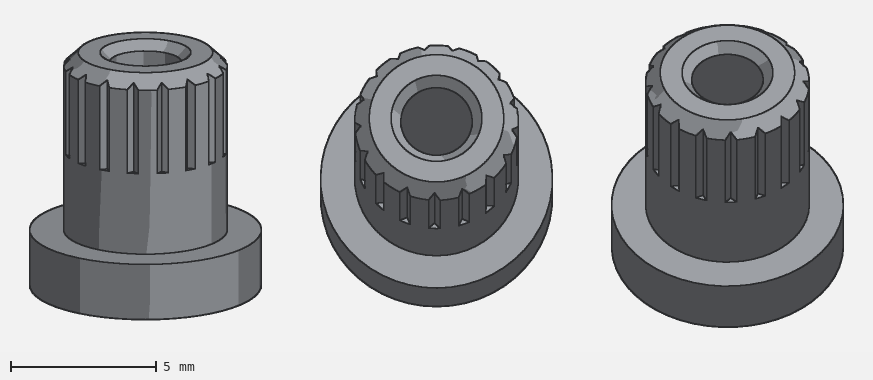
import cadquery as cq
import math

total_height = 8.4
flange_diameter = 8.0
flange_height = 2.0
shaft_diameter = 5.645
bore_diameter = 2.46

lead_in_width = 0.5
lead_in_height = 0.48

countersink_depth = 0.34

groove_count = 17
groove_depth = 0.2
groove_angle = 90.0
groove_length = 3.495
groove_overshoot = 0.17

shaft_radius = shaft_diameter / 2
bore_radius = bore_diameter / 2


def make_body():
    """Revolve the half section of the flanged, bored shaft about Z."""
    flange_radius = flange_diameter / 2
    half_section = (
        cq.Workplane("XZ")
        .moveTo(bore_radius, 0)
        .lineTo(flange_radius, 0)
        .lineTo(flange_radius, flange_height)
        .lineTo(shaft_radius, flange_height)
        .lineTo(shaft_radius, total_height - lead_in_height)
        .lineTo(shaft_radius - lead_in_width, total_height)
        .lineTo(bore_radius + countersink_depth, total_height)
        .lineTo(bore_radius, total_height - countersink_depth)
        .close()
    )
    return half_section.revolve(360, (0, 0, 0), (0, 1, 0))


def make_groove_cutter():
    """Triangular prism with its apex pointing at the shaft axis."""
    apex_y = shaft_radius - groove_depth
    outer_y = shaft_radius + groove_overshoot
    half_width = (outer_y - apex_y) * math.tan(math.radians(groove_angle / 2))
    return (
        cq.Workplane("XY", origin=(0, 0, total_height - groove_length))
        .polyline([(0, apex_y), (half_width, outer_y), (-half_width, outer_y)])
        .close()
        .extrude(groove_length)
    )


result = make_body()
groove_cutter = make_groove_cutter()
for index in range(groove_count):
    angle = index * 360 / groove_count
    result = result.cut(groove_cutter.rotate((0, 0, 0), (0, 0, 1), angle))